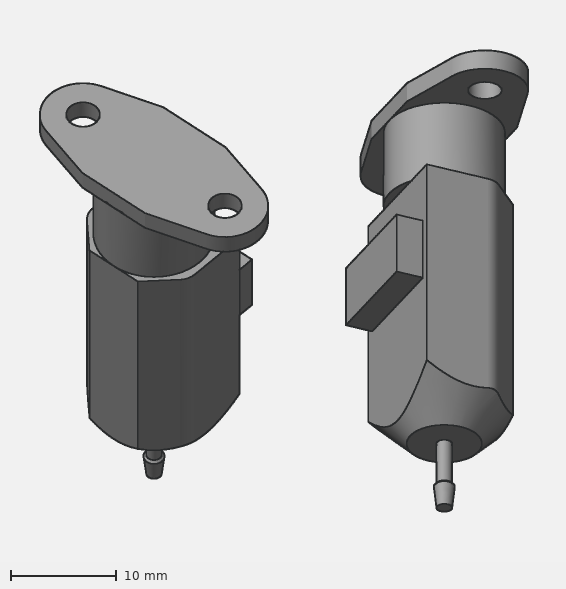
import cadquery as cq
import math

total_height = 43.0

plate_length = 26.2
plate_thickness = 2.0
plate_half_depth = 5.75
plate_flat_half_length = 3.95
ear_center_x = 9.0
ear_radius = plate_length / 2 - ear_center_x
mount_hole_diameter = 3.2

neck_diameter = 2 * plate_half_depth
neck_length = 8.0
case_height = 25.97
case_half_width = 6.5
case_front_y = -plate_half_depth
case_back_y = 4.9
front_flat_half_width = 3.05
corner_fillet = 2.0
nose_end_radius = 3.55

connector_width = 11.25
connector_height = 6.25
connector_back_y = 7.65
connector_drop = 15.75

rod_diameter = 1.5
tip_rim_diameter = 2.0
tip_shoulder_height = 0.25
tip_taper_height = 2.32

plate_bottom_z = total_height - plate_thickness
case_top_z = plate_bottom_z - neck_length
case_bottom_z = case_top_z - case_height


def make_plate():
    run = ear_center_x - plate_flat_half_length
    reach = math.hypot(run, plate_half_depth)
    corner_direction = math.atan2(plate_half_depth, -run)
    tangent_angle = corner_direction - math.acos(ear_radius / reach)
    tangent_x = ear_center_x + ear_radius * math.cos(tangent_angle)
    tangent_y = ear_radius * math.sin(tangent_angle)
    ear_end_x = ear_center_x + ear_radius
    return (
        cq.Workplane("XY", origin=(0, 0, plate_bottom_z))
        .moveTo(-plate_flat_half_length, plate_half_depth)
        .lineTo(plate_flat_half_length, plate_half_depth)
        .lineTo(tangent_x, tangent_y)
        .threePointArc((ear_end_x, 0), (tangent_x, -tangent_y))
        .lineTo(plate_flat_half_length, -plate_half_depth)
        .lineTo(-plate_flat_half_length, -plate_half_depth)
        .lineTo(-tangent_x, -tangent_y)
        .threePointArc((-ear_end_x, 0), (-tangent_x, tangent_y))
        .close()
        .extrude(plate_thickness)
        .faces(">Z")
        .workplane(origin=(0, 0, total_height))
        .pushPoints([(-ear_center_x, 0), (ear_center_x, 0)])
        .hole(mount_hole_diameter)
    )


def make_neck():
    return (
        cq.Workplane("XY", origin=(0, 0, case_top_z))
        .circle(neck_diameter / 2)
        .extrude(neck_length)
    )


def make_nose_envelope():
    outer_radius = 2 * case_half_width
    cone_top_z = case_bottom_z + outer_radius - nose_end_radius
    return (
        cq.Workplane("XZ")
        .moveTo(0, case_bottom_z)
        .lineTo(nose_end_radius, case_bottom_z)
        .lineTo(outer_radius, cone_top_z)
        .lineTo(outer_radius, case_top_z)
        .lineTo(0, case_top_z)
        .close()
        .revolve(360, (0, 0, 0), (0, 1, 0))
    )


def make_case():
    corner_y = case_front_y + case_half_width - front_flat_half_width
    prism = (
        cq.Workplane("XY", origin=(0, 0, case_bottom_z))
        .polyline([
            (-case_half_width, case_back_y),
            (case_half_width, case_back_y),
            (case_half_width, corner_y),
            (front_flat_half_width, case_front_y),
            (-front_flat_half_width, case_front_y),
            (-case_half_width, corner_y),
        ])
        .close()
        .extrude(case_height)
    )
    for side in (-1, 1):
        edge_middle = (side * case_half_width, corner_y, case_bottom_z + case_height / 2)
        corner_edge = prism.edges("|Z").edges(cq.NearestToPointSelector(edge_middle))
        prism = corner_edge.fillet(corner_fillet)
    return prism.intersect(make_nose_envelope())


def make_connector():
    depth = connector_back_y - case_back_y
    bottom_z = total_height - connector_drop - connector_height
    return cq.Workplane("XY").box(
        connector_width, depth, connector_height, centered=(True, False, False)
    ).translate((0, case_back_y, bottom_z))


def make_housing():
    return make_plate().union(make_neck()).union(make_case()).union(make_connector())


def make_pin():
    rod_radius = rod_diameter / 2
    return (
        cq.Workplane("XZ")
        .lineTo(rod_radius, 0)
        .lineTo(tip_rim_diameter / 2, tip_taper_height)
        .lineTo(rod_radius, tip_taper_height + tip_shoulder_height)
        .lineTo(rod_radius, case_bottom_z)
        .lineTo(0, case_bottom_z)
        .close()
        .revolve(360, (0, 0, 0), (0, 1, 0))
    )


housing = make_housing()
pin = make_pin()

result = cq.Compound.makeCompound([housing.val(), pin.val()])